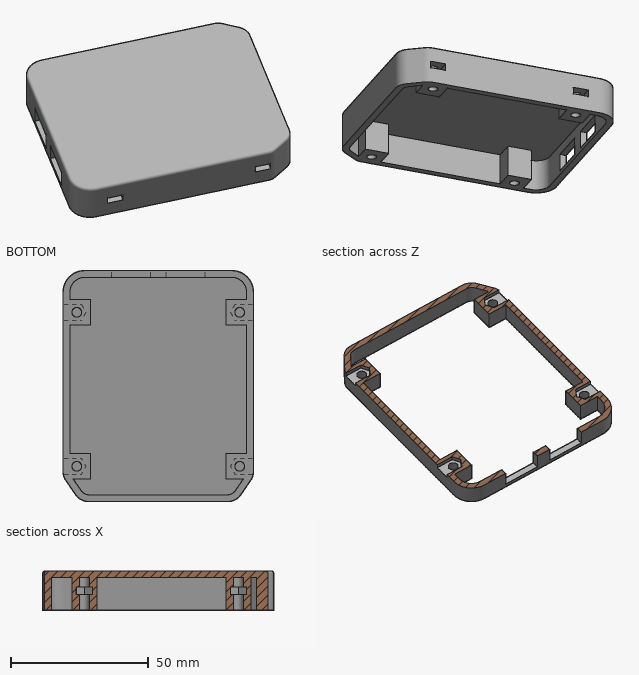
import cadquery as cq
import math

WIDTH = 69.3
LENGTH = 84.1
HEIGHT = 14.4

FRONT_CORNER_RADIUS = 7.9
BEVEL_WIDTH = 6.3
BEVEL_LENGTH = 9.25
BEVEL_BACK_RADIUS = 6.0
BEVEL_SIDE_RADIUS = 5.05
TOP_EDGE_RADIUS = 1.0

WALL = 2.5

WINDOW_WIDTH = 14.2
WINDOW_HEIGHT = 6.7
WINDOW_SILL = 1.5
WINDOW_SPACING = 19.85

SCREW_DIAMETER = 3.5
SCREW_INSET = 5.05
SCREW_FRONT_Y = -26.8
SCREW_REAR_Y = 29.2
NUT_ACROSS_FLATS = 5.8
NUT_SLOT_HEIGHT = 2.6
NUT_SLOT_BOTTOM = 5.8
BOSS_WALL = 1.7

half_width = WIDTH / 2
half_length = LENGTH / 2
cavity_height = HEIGHT - WALL
nut_across_corners = NUT_ACROSS_FLATS / math.cos(math.radians(30))
boss_width = NUT_ACROSS_FLATS + 2 * BOSS_WALL
boss_depth = SCREW_INSET + nut_across_corners / 2 + BOSS_WALL


def make_body():
    """Solid block with rounded front corners and softly bevelled rear corners."""
    bevel_x = half_width - BEVEL_WIDTH
    bevel_y = half_length - BEVEL_LENGTH
    outline = [
        (-half_width, -half_length),
        (half_width, -half_length),
        (half_width, bevel_y),
        (bevel_x, half_length),
        (-bevel_x, half_length),
        (-half_width, bevel_y),
    ]
    block = cq.Workplane("XY").polyline(outline).close().extrude(HEIGHT)
    block = block.edges("|Z and <Y").fillet(FRONT_CORNER_RADIUS)
    block = block.edges("|Z and >Y").fillet(BEVEL_BACK_RADIUS)
    for side in (-1, 1):
        bevel_corner = (side * half_width, bevel_y, HEIGHT / 2)
        block = block.edges(cq.selectors.NearestToPointSelector(bevel_corner))
        block = block.fillet(BEVEL_SIDE_RADIUS)
    return block


def make_windows():
    """Cutters for the two rectangular connector windows."""
    return (
        cq.Workplane("XY", origin=(0, -half_length, WINDOW_SILL))
        .pushPoints([(-WINDOW_SPACING / 2, 0), (WINDOW_SPACING / 2, 0)])
        .rect(WINDOW_WIDTH, 2 * WALL)
        .extrude(WINDOW_HEIGHT)
    )


def make_boss(side, screw_y):
    """Block from the rim to the roof, reaching inward from the side wall at side = -1 or 1."""
    centre_x = side * (half_width - boss_depth / 2)
    return cq.Workplane("XY").center(centre_x, screw_y).rect(boss_depth, boss_width).extrude(HEIGHT)


def make_nut_slot(side, screw_y):
    """Hexagonal nut pocket, pointed inward, with a straight slot out through the side wall."""
    screw_x = side * (half_width - SCREW_INSET)
    plane = cq.Workplane("XY", origin=(screw_x, screw_y, NUT_SLOT_BOTTOM))
    pocket = plane.polygon(6, nut_across_corners).extrude(NUT_SLOT_HEIGHT)
    slot = (
        plane.center(side * SCREW_INSET / 2, 0)
        .rect(SCREW_INSET, NUT_ACROSS_FLATS)
        .extrude(NUT_SLOT_HEIGHT)
    )
    return pocket.union(slot)


def make_screw_hole(side, screw_y):
    """Blind screw hole from the rim up to the underside of the roof."""
    screw_x = side * (half_width - SCREW_INSET)
    return cq.Workplane("XY").center(screw_x, screw_y).circle(SCREW_DIAMETER / 2).extrude(cavity_height)


body = make_body()
outer = body.faces(">Z").edges().fillet(TOP_EDGE_RADIUS)
cavity = body.cut(body.faces("<Z").shell(-WALL))

bosses = [(side, y) for side in (-1, 1) for y in (SCREW_FRONT_Y, SCREW_REAR_Y)]
for side, screw_y in bosses:
    cavity = cavity.cut(make_boss(side, screw_y))

result = outer.cut(cavity).cut(make_windows())
for side, screw_y in bosses:
    result = result.cut(make_screw_hole(side, screw_y))
    result = result.cut(make_nut_slot(side, screw_y))